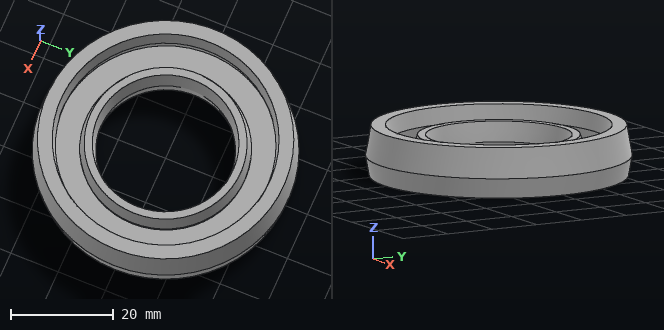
import cadquery as cq
import math

total_height = 10.0
hub_height = 8.0
floor_height = 4.0
groove_knee_height = 6.6
hub_knee_height = 5.0

outer_radius = 26.0
bore_radius = 13.55
groove_wall_radius = 21.5
hub_radius = 16.75
hub_top_radius = 15.85

draft = math.tan(math.radians(10))


def taper(height):
    """Radial change of a drafted wall over the given height."""
    return draft * height


upper_outer_height = total_height - floor_height
lip_height = total_height - groove_knee_height
groove_undercut_height = groove_knee_height - floor_height
hub_undercut_height = hub_knee_height - floor_height
upper_bore_height = hub_height - floor_height

section = [
    (bore_radius + taper(floor_height), 0),
    (outer_radius - taper(floor_height), 0),
    (outer_radius, floor_height),
    (outer_radius - taper(upper_outer_height), total_height),
    (groove_wall_radius + taper(lip_height), total_height),
    (groove_wall_radius, groove_knee_height),
    (groove_wall_radius + taper(groove_undercut_height), floor_height),
    (hub_radius - taper(hub_undercut_height), floor_height),
    (hub_radius, hub_knee_height),
    (hub_top_radius, hub_height),
    (bore_radius + taper(upper_bore_height), hub_height),
    (bore_radius, floor_height),
]

result = cq.Workplane("XZ").polyline(section).close().revolve(360, (0, 0), (0, 1))